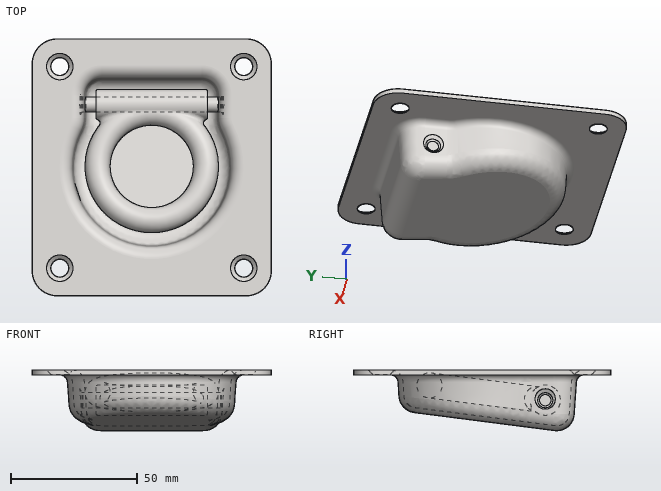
import cadquery as cq
import math

plate_width = 95.0
plate_length = 102.0
plate_corner_radius = 10.0
sheet = 2.0
screw_x = 36.5
screw_y = 40.0
screw_diameter = 7.0
screw_sink_diameter = 10.5
sink_angle = 90.0

rim_radius = 36.5
rim_half_width = 31.75
rim_back = 40.4
rim_corner_radius = 12.0
rim_neck_radius = 6.0
rim_round = 5.0
floor_round = 5.0
wall_draft = 4.0
floor_tilt = 7.3
total_depth = 24.13

pin_diameter = 6.0
pin_y = 25.0
pin_z = -12.0
dish_diameter = 8.0
dish_floor_diameter = 4.5
dish_depth = 1.0
barrel_diameter = 12.0
barrel_half_length = 22.1
barrel_edge_round = 0.75
ring_tube_radius = 5.0
ring_radius = 21.5
ring_y = 0.4
ring_blend = 1.5

draft = math.radians(wall_draft)
tilt = math.radians(floor_tilt)
outer_floor_round = floor_round + sheet
inner_inset = rim_round * math.tan((math.pi / 2 - draft) / 2)
outer_inset = inner_inset - sheet / math.cos(draft)
wall_x = rim_half_width - outer_inset + pin_z * math.tan(draft)

cut_depth = 40.0
cut_size = 200.0
pick_gap = 0.01


def pan_outline(inset):
    """Closed outline at the plate top, set in from the rim outline."""
    bowl = rim_radius - inset
    side = rim_half_width - inset
    back = rim_back - inset
    corner = rim_corner_radius - inset
    neck = rim_neck_radius + inset
    corner_y = back - corner
    corner_mid = corner * (1 - math.sqrt(0.5))
    neck_x = side + neck
    neck_y = math.sqrt((bowl + neck) ** 2 - neck_x ** 2)
    neck_angle = math.atan2(neck_y, neck_x)
    touch_x = bowl * math.cos(neck_angle)
    touch_y = bowl * math.sin(neck_angle)
    mid_x = neck_x - neck * math.cos(neck_angle / 2)
    mid_y = neck_y - neck * math.sin(neck_angle / 2)
    return (
        cq.Workplane("XY")
        .moveTo(touch_x, touch_y)
        .threePointArc((mid_x, mid_y), (side, neck_y))
        .lineTo(side, corner_y)
        .threePointArc((side - corner_mid, back - corner_mid), (side - corner, back))
        .lineTo(corner - side, back)
        .threePointArc((corner_mid - side, back - corner_mid), (-side, corner_y))
        .lineTo(-side, neck_y)
        .threePointArc((-mid_x, mid_y), (-touch_x, touch_y))
        .threePointArc((0, -bowl), (touch_x, touch_y))
        .close()
    )


def pan_block(inset, floor_z, edge_round):
    """Solid drafted block down to the tilted floor, which crosses Y = 0 at floor_z."""
    below_floor = (
        cq.Workplane("XY")
        .box(cut_size, cut_size, cut_depth, centered=(True, True, False))
        .translate((0, 0, -cut_depth))
        .rotate((0, 0, 0), (1, 0, 0), -floor_tilt)
        .translate((0, 0, floor_z))
    )
    block = pan_outline(inset).extrude(-cut_depth, taper=wall_draft).cut(below_floor)
    floor_normal = cq.Vector(0, -math.sin(tilt), -math.cos(tilt))
    floor_face = cq.selectors.DirectionMinMaxSelector(floor_normal)
    return block.faces(floor_face).edges().fillet(edge_round)


def floor_height():
    """Height at Y = 0 of the outer floor whose back round just reaches the full depth."""
    r = outer_floor_round
    centre_z = r - total_depth
    centre_y = rim_back - outer_inset + centre_z * math.tan(draft) - r / math.cos(draft)
    return centre_z - r / math.cos(tilt) + centre_y * math.tan(tilt)


outer_floor_z = floor_height()
inner_floor_z = outer_floor_z + sheet / math.cos(tilt)


def rim_edges_at(z):
    """Selector for the loop between the pan walls and the plate face at height z."""
    low = (-rim_radius, -rim_radius, z - pick_gap)
    high = (rim_radius, rim_back, z + pick_gap)
    return cq.selectors.BoxSelector(low, high, boundingbox=True)


def rod_along_x(diameter, half_length):
    """Cylinder on the pin axis, centred on X = 0."""
    return (
        cq.Workplane("YZ", origin=(-half_length, pin_y, pin_z))
        .circle(diameter / 2)
        .extrude(2 * half_length)
    )


def pin_dishes():
    """Cone at each end of the pin that sinks from the wall face into the pan and the pin."""
    slope = (dish_diameter - dish_floor_diameter) / 2 / dish_depth
    height = 2 * dish_depth
    mouth_radius = dish_floor_diameter / 2 + slope * height
    return [
        cq.Solid.makeCone(
            dish_floor_diameter / 2,
            mouth_radius,
            height,
            cq.Vector(side * (wall_x - dish_depth), pin_y, pin_z),
            cq.Vector(side, 0, 0),
        )
        for side in (-1, 1)
    ]


def make_pan():
    plate = (
        cq.Workplane("XY")
        .box(plate_width, plate_length, sheet, centered=(True, True, False))
        .edges("|Z")
        .fillet(plate_corner_radius)
        .translate((0, 0, -sheet))
    )
    pan = plate.union(pan_block(outer_inset, outer_floor_z, outer_floor_round))
    pan = pan.edges(rim_edges_at(-sheet)).fillet(rim_round - sheet)
    pan = pan.cut(pan_block(inner_inset, inner_floor_z, floor_round))
    pan = pan.edges(rim_edges_at(0)).fillet(rim_round)
    screws = [(x, y) for x in (-screw_x, screw_x) for y in (-screw_y, screw_y)]
    pan = (
        pan.faces(">Z")
        .workplane(origin=(0, 0, 0))
        .pushPoints(screws)
        .cskHole(screw_diameter, screw_sink_diameter, sink_angle)
    )
    pan = pan.cut(rod_along_x(pin_diameter, wall_x))
    for dish in pin_dishes():
        pan = pan.cut(dish)
    return pan



def make_pin():
    pin = rod_along_x(pin_diameter, wall_x)
    for dish in pin_dishes():
        pin = pin.cut(dish)
    return pin


def make_ring():
    """Ring in a plane parallel to the floor, joined to the barrel that turns on the pin."""
    ring_z = pin_z + (pin_y - ring_y) * math.tan(tilt)
    flat_loop = (
        cq.Workplane("XY")
        .center(0, -ring_radius)
        .transformed(rotate=(0, 90, 0))
        .circle(ring_tube_radius)
        .revolve(360, (0, ring_radius, 0), (1, ring_radius, 0))
    )
    tilted_loop = flat_loop.rotate((0, 0, 0), (1, 0, 0), -floor_tilt)
    loop = tilted_loop.translate((0, ring_y, ring_z))
    barrel = rod_along_x(barrel_diameter, barrel_half_length)
    ring = barrel.union(loop)
    ring = ring.edges("%BSPLINE").fillet(ring_blend)
    ring = ring.faces("<X or >X").edges("%CIRCLE").fillet(barrel_edge_round)
    return ring.cut(rod_along_x(pin_diameter, barrel_half_length))


pan = make_pan()
pin = make_pin()
ring = make_ring()
result = cq.Compound.makeCompound([pan.solids().val(), pin.solids().val(), ring.solids().val()])